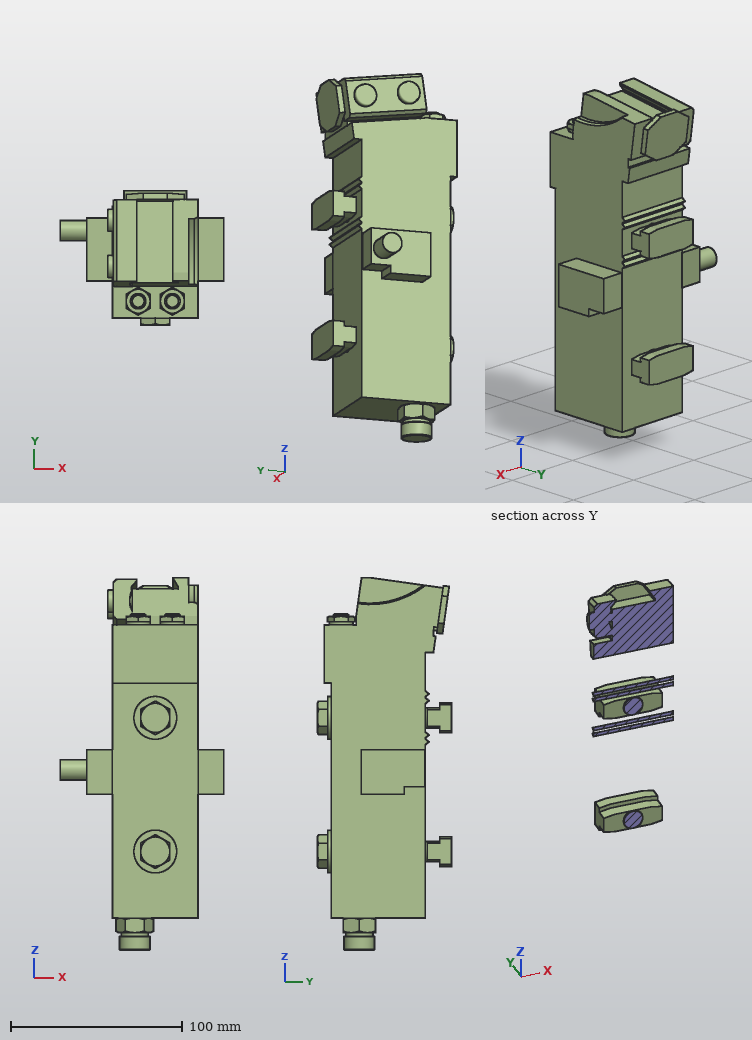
import cadquery as cq
import math


body_width = 50.0
body_depth = 55.0
head_top = 171.0
head_front = -4.0
head_front_bottom = 137.1
head_back = 59.8
head_back_bottom = 154.8
tilt_angle = 8.0
part_top = 198.7

bolt_heights = (38.8, 116.8)
bolt_diameter = 12.0
bolt_washer_diameter = 25.0
bolt_washer_thickness = 2.0
bolt_hex_flats = 17.0
bolt_hex_height = 6.0
nut_width = 36.6
nut_height = 17.5
nut_thickness = 7.0
nut_back = 70.4
nut_neck_height = 12.0
nut_neck_front = 56.1
nut_taper_length = 7.0
nut_taper_drop = 1.2

hex_corner_angle = 30.0

rib_offsets = (-14.0, -10.0, 10.0, 14.0)
rib_height = 2.2
rib_base = 3.6

cross_length = 80.0
cross_front = 17.6
cross_back = 54.6
cross_bottom = 72.1
cross_top = 98.3
cross_notch_depth = 4.6
cross_notch_front = 42.6
pin_diameter = 12.0
pin_length = 15.5
pin_y = 47.1
pin_z = 86.5

fitting_x = -12.0
fitting_y = 16.5
fitting_hex_flats = 19.0
fitting_hex_height = 8.5
fitting_neck_diameter = 16.0
fitting_neck_height = 2.0
fitting_diameter = 18.0
fitting_length = 18.8
fitting_chamfer = 0.5

stud_spacing = 20.0
stud_y = 5.9
stud_diameter = 9.0
stud_end_height = 6.7
stud_chamfer = 1.0
stud_hex_flats = 14.0
stud_hex_top = 5.0
stud_washer_diameter = 14.0
stud_washer_thickness = 1.8

clamp_origin_y = 14.6
clamp_origin_z = 176.3
clamp_length = 48.0
clamp_right = body_width / 2
clamp_split = -13.3
floor_height = 16.0
jaw_left = -24.6
jaw_bottom = -2.0
jaw_top = 21.7
jaw_lip = -10.8
jaw_undercut = -14.0
jaw_chamfer = 2.0
ridge_top = 23.3
ridge_lip = 10.2
ridge_undercut = 13.5
dovetail_edge = 1.0
ridge_right = 19.4
groove_bottom = 2.5
groove_depth = 1.6

pocket_floor = 8.0
pocket_reach = 36.5
pocket_flare_start = 22.7
pocket_flare = 0.8

screw_positions = (10.3, 37.5)
screw_height = 10.2
screw_head_diameter = 13.0
screw_head_height = 3.2
screw_head_fillet = 0.8
screw_shank_diameter = 8.0

plate_width = 34.0
plate_top_width = 14.0
plate_bottom = -3.4
plate_top = 24.6
plate_corner_height = 6.0
plate_thickness = 3.5

tilt_tangent = math.tan(math.radians(tilt_angle))


def cylinder(start, direction, diameter, length):
    plane = cq.Plane(origin=start, normal=direction)
    return cq.Workplane(plane).circle(diameter / 2).extrude(length)


def hexagon(start, direction, corner_direction, flats, height, round_end, round_start=False):
    """Hexagonal prism whose corners are turned off at the chosen ends."""
    corner_radius = flats / math.sqrt(3)
    flat_radius = flats / 2
    ring = corner_radius - flat_radius
    drop = ring * math.tan(math.radians(hex_corner_angle))
    plane = cq.Plane(origin=start, xDir=corner_direction, normal=direction)
    prism = cq.Workplane(plane).polygon(6, 2 * corner_radius).extrude(height)
    turned = cq.Workplane(plane).circle(corner_radius).extrude(height)
    axis = cq.Vector(*direction)
    if round_end:
        turned = turned.faces(cq.DirectionMinMaxSelector(axis, True)).chamfer(drop, ring)
    if round_start:
        turned = turned.faces(cq.DirectionMinMaxSelector(axis, False)).chamfer(drop, ring)
    return prism.intersect(turned)


def side_profile(points, width):
    """Extrude a (Y, Z) outline symmetrically about the mid-width plane."""
    return cq.Workplane("YZ").polyline(points).close().extrude(width / 2, both=True)


def make_body():
    run = head_back - clamp_origin_y
    slope_back_z = head_top - run * tilt_tangent
    lean = (slope_back_z - head_back_bottom) * tilt_tangent
    slope_back_y = head_back + lean
    return side_profile(
        [
            (0, 0),
            (body_depth, 0),
            (body_depth, head_back_bottom),
            (head_back, head_back_bottom),
            (slope_back_y, head_top - (slope_back_y - clamp_origin_y) * tilt_tangent),
            (clamp_origin_y, head_top),
            (head_front, head_top),
            (head_front, head_front_bottom),
            (0, head_front_bottom),
        ],
        body_width,
    )


def make_pedestal():
    """Raised seat under the fixed part of the clamp."""
    seat_back_z = clamp_origin_z - (head_back - clamp_origin_y) * tilt_tangent
    outline = [
        (clamp_origin_y, head_back_bottom),
        (head_back, head_back_bottom),
        (head_back, seat_back_z),
        (clamp_origin_y, clamp_origin_z),
    ]
    seat = cq.Workplane("YZ", origin=(clamp_split, 0, 0)).polyline(outline).close()
    return seat.extrude(clamp_right - clamp_split)


def box_between(x0, x1, y0, y1, z0, z1):
    return cq.Workplane("XY").box(x1 - x0, y1 - y0, z1 - z0, centered=False).translate((x0, y0, z0))


def make_tapered_bar(z, height, front, back):
    """Bar across the part whose two ends taper above and below."""
    half_width = nut_width / 2
    half_flat = half_width - nut_taper_length
    half_height = height / 2
    half_end = half_height - nut_taper_drop
    outline = [
        (-half_flat, z - half_height),
        (half_flat, z - half_height),
        (half_width, z - half_end),
        (half_width, z + half_end),
        (half_flat, z + half_height),
        (-half_flat, z + half_height),
        (-half_width, z + half_end),
        (-half_width, z - half_end),
    ]
    return cq.Workplane("XZ", origin=(0, front, 0)).polyline(outline).close().extrude(front - back)


def make_bolt(z):
    washer = cylinder((0, 0, z), (0, -1, 0), bolt_washer_diameter, bolt_washer_thickness)
    head_start = (0, -bolt_washer_thickness, z)
    head = hexagon(head_start, (0, -1, 0), (0, 0, 1), bolt_hex_flats, bolt_hex_height, True)
    shank = cylinder((0, body_depth, z), (0, 1, 0), bolt_diameter, nut_back - body_depth)
    nut_front = nut_back - nut_thickness
    nut = make_tapered_bar(z, nut_height, nut_front, nut_back)
    neck = make_tapered_bar(z, nut_neck_height, nut_neck_front, nut_front)
    return washer.union(head).union(shank).union(nut).union(neck)


def make_rib(z):
    outline = [
        (body_depth, z - rib_base / 2),
        (body_depth + rib_height, z),
        (body_depth, z + rib_base / 2),
    ]
    return side_profile(outline, body_width)


def make_cross_block():
    notch_bottom = cross_bottom + cross_notch_depth
    block = side_profile(
        [
            (cross_front, cross_bottom),
            (cross_notch_front, cross_bottom),
            (cross_notch_front, notch_bottom),
            (cross_back, notch_bottom),
            (cross_back, cross_top),
            (cross_front, cross_top),
        ],
        cross_length,
    )
    pin = cylinder((-cross_length / 2, pin_y, pin_z), (-1, 0, 0), pin_diameter, pin_length)
    return block.union(pin)


def make_fitting():
    down = (0, 0, -1)
    neck_end = fitting_hex_height + fitting_neck_height
    nut = hexagon(
        (fitting_x, fitting_y, 0), down, (1, 0, 0), fitting_hex_flats, fitting_hex_height, True, True
    )
    neck = cylinder((fitting_x, fitting_y, 0), down, fitting_neck_diameter, neck_end)
    thread = cylinder(
        (fitting_x, fitting_y, -neck_end), down, fitting_diameter, fitting_length - neck_end
    )
    thread = thread.edges().chamfer(fitting_chamfer)
    return nut.union(neck).union(thread)


def make_stud(x):
    up = (0, 0, 1)
    washer = cylinder((x, stud_y, head_top), up, stud_washer_diameter, stud_washer_thickness)
    nut = hexagon(
        (x, stud_y, head_top + stud_washer_thickness),
        up,
        (0, 1, 0),
        stud_hex_flats,
        stud_hex_top - stud_washer_thickness,
        True,
    )
    end = cylinder((x, stud_y, head_top), up, stud_diameter, stud_end_height)
    return washer.union(nut).union(end.faces(">Z").chamfer(stud_chamfer))


def clamp_profile(start):
    """Start an (X, Z) outline on the clamp's front end, to be extruded backwards by a negative length."""
    return cq.Workplane("XZ").moveTo(*start)


def make_jaw():
    jaw = (
        clamp_profile((jaw_left + jaw_chamfer, jaw_bottom))
        .lineTo(clamp_split, jaw_bottom)
        .lineTo(clamp_split, groove_bottom)
        .threePointArc(
            (clamp_split - groove_depth, (groove_bottom + floor_height) / 2),
            (clamp_split, floor_height),
        )
        .lineTo(jaw_undercut, floor_height)
        .lineTo(jaw_undercut, floor_height + dovetail_edge)
        .lineTo(jaw_lip, jaw_top - dovetail_edge)
        .lineTo(jaw_lip, jaw_top)
        .lineTo(jaw_left + jaw_chamfer, jaw_top)
        .lineTo(jaw_left, jaw_top - jaw_chamfer)
        .lineTo(jaw_left, jaw_bottom + jaw_chamfer)
        .close()
    )
    return jaw.extrude(-clamp_length)


def make_fixed_jaw():
    fixed = (
        clamp_profile((clamp_split, 0))
        .lineTo(clamp_right, 0)
        .lineTo(clamp_right, ridge_top)
        .lineTo(ridge_lip, ridge_top)
        .lineTo(ridge_lip, ridge_top - dovetail_edge)
        .lineTo(ridge_undercut, floor_height + dovetail_edge)
        .lineTo(ridge_undercut, floor_height)
        .lineTo(clamp_split, floor_height)
        .close()
    )
    return fixed.extrude(-clamp_length).cut(make_pocket())


def make_pocket():
    """Round cutter, flared outwards, whose lowest line lies on the clamp's front end."""
    depth = ridge_top - pocket_floor
    radius = (pocket_reach ** 2 + depth ** 2) / (2 * depth)
    section = [
        (ridge_right, 0),
        (ridge_right, radius),
        (pocket_flare_start, radius),
        (clamp_right, radius + pocket_flare),
        (clamp_right, 0),
    ]
    cutter = cq.Workplane("XY").polyline(section).close().revolve(360, (0, 0, 0), (1, 0, 0))
    return cutter.translate((0, 0, pocket_floor + radius))


def make_jaw_screw(y):
    head = cylinder((jaw_left, y, screw_height), (-1, 0, 0), screw_head_diameter, screw_head_height)
    shank = cylinder((jaw_left, y, screw_height), (1, 0, 0), screw_shank_diameter, clamp_split - jaw_left)
    return head.faces("<X").edges().fillet(screw_head_fillet).union(shank)


def make_end_plate():
    half_width = plate_width / 2
    half_top = plate_top_width / 2
    upper = plate_top - plate_corner_height
    lower = plate_bottom + plate_corner_height
    outline = [
        (-half_top, plate_bottom),
        (half_top, plate_bottom),
        (half_width, lower),
        (half_width, upper),
        (half_top, plate_top),
        (-half_top, plate_top),
        (-half_width, upper),
        (-half_width, lower),
    ]
    end = cq.Workplane("XZ", origin=(0, clamp_length, 0)).polyline(outline).close()
    return end.extrude(-plate_thickness)


def make_clamp():
    clamp = make_fixed_jaw().union(make_jaw())
    for y in screw_positions:
        clamp = clamp.union(make_jaw_screw(y))
    clamp = clamp.union(make_end_plate())
    clamp = clamp.rotate((0, 0, 0), (1, 0, 0), -tilt_angle)
    clamp = clamp.translate((0, clamp_origin_y, clamp_origin_z))
    above = box_between(
        -body_width, body_width, 0, clamp_origin_y + clamp_length, part_top, part_top + ridge_top
    )
    return clamp.cut(above)


result = make_body().union(make_pedestal()).union(make_cross_block()).union(make_fitting())
for bolt_z in bolt_heights:
    result = result.union(make_bolt(bolt_z))
for rib_offset in rib_offsets:
    result = result.union(make_rib(bolt_heights[1] + rib_offset))
for stud_side in (-1, 1):
    result = result.union(make_stud(stud_side * stud_spacing / 2))
result = result.union(make_clamp())